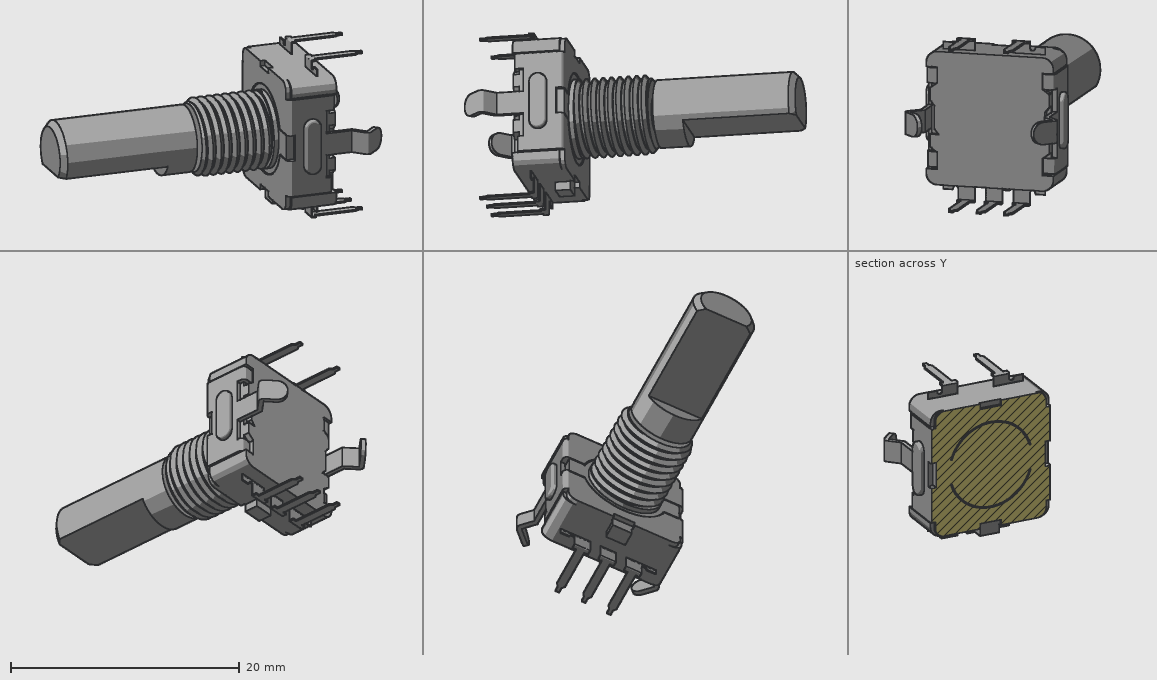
import cadquery as cq
import math


OVERLAP = 0.1

BODY_HALF_X = 5.81
BODY_HALF_Z = 5.97
BODY_DEPTH = 4.62
BODY_CORNER = 1.0
SHEET = 0.43
FACE_HALF_X = 5.45
FACE_CORNER = 0.87
SIDE_RECESS_HALF_Z = 4.58
DENT_FRONT = 4.08
DENT_FLOOR_X = 4.8
MIDDLE_DENT_UPPER_X = 5.05
MIDDLE_DENT_LOWER_X = 4.65
UPPER_PAD = (1.58, 2.7)
LOWER_PAD = (-2.6, -1.47)
DENT_SLOPE = 0.48

WALL_HALF_Z = 4.47
WALL_OUTER_X = FACE_HALF_X + SHEET
WALL_END = 3.65
LUG_INNER_Z = 3.1
UPPER_LUG_END = 4.48
LOWER_LUG_END = 4.22

DISC_RADIUS = 4.0
DISC_GAP = 0.07
ARM_HALF_Z = 1.17
ARM_END = 0.73
ARM_HALF_X = 5.37
ARM_GAP_END = 1.0
FACE_RECESS = 0.07
NOTCH_HALF_X = 1.02
NOTCH_DEPTH = 0.5
KEY_HALF_X = 0.94
KEY_BACK = 1.76
KEY_BOTTOM = -6.73

OVAL_CENTER_Y = 2.3
OVAL_RADIUS = 0.77
OVAL_LENGTH = 5.04
OVAL_HEIGHT = 0.46
OVAL_FILLET = 0.22

CLIP_HALF_Z = 1.0
CLIP_ELBOW_Y = 7.21
CLIP_TIP_Y = 9.0
CLIP_HALF_SPAN = 6.92
CLIP_TIP_ROUND = 0.98 * CLIP_HALF_Z

LEG_FRONT = 3.17
LEG_SHEET = 0.1
PIN_SHEET = 0.15
PIN_BEND_RADIUS = 0.14
PIN_SPACING = 2.52
PIN_FOOT_WIDTH = 1.53
PIN_FOOT_END = 3.66
PIN_WIDTH = 0.8
PIN_TIP_WIDTH = 0.38
PIN_TAPER_START = 7.44
PIN_TAPER_END = 7.7
PIN_END = 8.18
CENTER_PIN_SHIFT = -0.1
UPPER_LEFT_PIN_Z = 7.1
UPPER_RIGHT_PIN_Z = 7.03
LOWER_PIN_Z = 7.6
LEG_OUTER_X = 4.67
LEG_SHOULDER_X = 3.82
LEG_NOTCH_RADIUS = 0.23
LEG_SHOULDER_Z = 6.6
LEG_NOTCH_Z = 6.25

THREAD_RADIUS = 3.5
THREAD_CORE_RADIUS = 3.08
THREAD_PITCH = 0.75
COLLAR_LENGTH = 0.37
BUSHING_LENGTH = 6.94
BUSHING_CHAMFER = 0.46
LAST_CREST_Y = -0.06
THREAD_TURNS = 10
RIDGE_ROOT_DEPTH = 0.03
RIDGE_BASE = 0.98 * THREAD_PITCH

NECK_RADIUS = 1.53
SHAFT_RADIUS = 3.0
SHAFT_START = 7.36
SHAFT_END = 20.01
SHAFT_CHAMFER = 0.52
FLAT_START = 9.97
FLAT_Z = -1.5


def block(x0, x1, y0, y1, z0, z1):
    """Axis-aligned box given by its limits."""
    return cq.Workplane("XY").box(x1 - x0, y1 - y0, z1 - z0, centered=False).translate((x0, y0, z0))


def rod(radius, y0, y1):
    """Cylinder on the shaft axis."""
    return cq.Workplane("XZ", origin=(0, y1, 0)).circle(radius).extrude(y1 - y0)


def both_sides(shape):
    """The shape together with its mirror image across the YZ plane."""
    return shape.union(shape.mirror("YZ"))


def side_wall():
    """Cover wall on the -X side, bent over from the front face, with rear lugs and raised oval."""
    inner = -FACE_HALF_X
    outer = -WALL_OUTER_X
    wall = block(outer, inner + OVERLAP, 0, WALL_END, -WALL_HALF_Z, WALL_HALF_Z)
    wall = wall.edges("|Z and <X and <Y").fillet(SHEET)
    for end, z0, z1 in (
        (UPPER_LUG_END, LUG_INNER_Z, WALL_HALF_Z),
        (LOWER_LUG_END, -WALL_HALF_Z, -LUG_INNER_Z),
    ):
        bent_lug = block(outer, -DENT_FLOOR_X + OVERLAP, WALL_END - OVERLAP, end, z0, z1)
        wall = wall.union(bent_lug.edges("|Z and <X and >Y").fillet(SHEET))
    oval = (
        cq.Workplane("YZ", origin=(outer - OVAL_HEIGHT, OVAL_CENTER_Y, 0))
        .slot2D(OVAL_LENGTH, 2 * OVAL_RADIUS, 90)
        .extrude(OVAL_HEIGHT + OVERLAP)
        .faces("<X")
        .edges()
        .fillet(OVAL_FILLET)
    )
    return wall.union(oval)


def rear_dents():
    """Three sloped dents in the rear edge of the body side at -X, with two flat pads between them."""
    side = -FACE_HALF_X
    floor = -DENT_FLOOR_X
    upper = [
        (side, SIDE_RECESS_HALF_Z),
        (floor, SIDE_RECESS_HALF_Z),
        (floor, UPPER_PAD[1] + DENT_SLOPE),
        (side, UPPER_PAD[1]),
    ]
    middle = [
        (side, UPPER_PAD[0]),
        (-MIDDLE_DENT_UPPER_X, UPPER_PAD[0] - DENT_SLOPE),
        (-MIDDLE_DENT_UPPER_X, LOWER_PAD[1] + DENT_SLOPE),
        (-MIDDLE_DENT_LOWER_X, LOWER_PAD[1]),
        (side, LOWER_PAD[1]),
    ]
    lower = [
        (side, LOWER_PAD[0]),
        (floor, LOWER_PAD[0] - DENT_SLOPE),
        (floor, -SIDE_RECESS_HALF_Z),
        (side, -SIDE_RECESS_HALF_Z),
    ]
    dents = cq.Workplane("XZ", origin=(0, BODY_DEPTH, 0))
    for outline in (upper, middle, lower):
        dents = dents.polyline(outline).close()
    return dents.extrude(BODY_DEPTH - DENT_FRONT)


def face_recess():
    """Shallow recess in the front face that shows a disc with two arms, and the gap around the disc."""
    hole_radius = DISC_RADIUS + DISC_GAP
    arms = block(-FACE_HALF_X, FACE_HALF_X, 0, FACE_RECESS, -ARM_HALF_Z, ARM_HALF_Z)
    gap = rod(hole_radius, 0, SHEET).cut(rod(DISC_RADIUS, 0, SHEET))
    gap = gap.cut(block(-hole_radius, hole_radius, 0, SHEET, -ARM_HALF_Z, ARM_HALF_Z))
    return arms.union(rod(hole_radius, 0, FACE_RECESS)).union(gap)


def arm_slot():
    """Opening in the bend of the -X wall at the end of an arm, with the gap between arm and wall."""
    opening = block(-WALL_OUTER_X, -ARM_HALF_X, 0, ARM_END, -ARM_HALF_Z, ARM_HALF_Z)
    return opening.union(block(-FACE_HALF_X, -ARM_HALF_X, 0, ARM_GAP_END, -ARM_HALF_Z, ARM_HALF_Z))


def housing():
    """Moulded body, front face plate, side walls and the recesses of the front face."""
    body = block(-BODY_HALF_X, BODY_HALF_X, SHEET, BODY_DEPTH, -BODY_HALF_Z, BODY_HALF_Z)
    body = body.edges("|Y").fillet(BODY_CORNER)
    recess = block(
        -BODY_HALF_X, -FACE_HALF_X, 0, BODY_DEPTH, -SIDE_RECESS_HALF_Z, SIDE_RECESS_HALF_Z
    )
    body = body.cut(both_sides(recess)).cut(both_sides(rear_dents()))
    face = block(-FACE_HALF_X, FACE_HALF_X, 0, SHEET + OVERLAP, -BODY_HALF_Z, BODY_HALF_Z)
    body = body.union(face.edges("|Y").fillet(FACE_CORNER))
    body = body.union(both_sides(side_wall()))
    body = body.cut(face_recess()).cut(both_sides(arm_slot()))

    notch = block(
        -NOTCH_HALF_X, NOTCH_HALF_X, 0, SHEET, BODY_HALF_Z - NOTCH_DEPTH, BODY_HALF_Z
    )
    body = body.cut(notch).cut(notch.mirror("XY"))
    key = block(-KEY_HALF_X, KEY_HALF_X, SHEET, KEY_BACK, KEY_BOTTOM, OVERLAP - BODY_HALF_Z)
    return body.union(key)


def clip():
    """Snap-in clip on the -X side: straight out of the wall, then bent out and back in."""
    outer = -WALL_OUTER_X
    elbow_x = -CLIP_HALF_SPAN - SHEET * (math.sqrt(2) - 1)
    bend_y = CLIP_ELBOW_Y - (outer - elbow_x)
    inner_bend_y = bend_y + SHEET * math.tan(math.pi / 8)
    tip_x = elbow_x + CLIP_TIP_Y - CLIP_ELBOW_Y
    tip_step = SHEET / math.sqrt(2)
    outline = [
        (outer, WALL_END - OVERLAP),
        (outer, bend_y),
        (elbow_x, CLIP_ELBOW_Y),
        (tip_x, CLIP_TIP_Y),
        (tip_x + tip_step, CLIP_TIP_Y - tip_step),
        (elbow_x + SHEET * math.sqrt(2), CLIP_ELBOW_Y),
        (-FACE_HALF_X, inner_bend_y),
        (-FACE_HALF_X, WALL_END - OVERLAP),
    ]
    strip = cq.Workplane("XY", origin=(0, 0, -CLIP_HALF_Z)).polyline(outline).close()
    strip = strip.extrude(2 * CLIP_HALF_Z)
    strip = strip.edges("|Z and <X").fillet(SHEET)
    return strip.faces(">Y").edges("not |Z").fillet(CLIP_TIP_ROUND)


def pin(center_x, outer_z, shift):
    """Flat terminal pin in a horizontal plane; outer_z is its face away from the shaft axis."""
    half_foot = PIN_FOOT_WIDTH / 2
    half_width = PIN_WIDTH / 2
    half_tip = PIN_TIP_WIDTH / 2
    right_side = [
        (half_foot, LEG_FRONT),
        (half_foot, PIN_FOOT_END),
        (half_width, PIN_FOOT_END),
        (half_width, PIN_TAPER_START + shift),
        (half_tip, PIN_TAPER_END + shift),
        (half_tip, PIN_END + shift),
    ]
    left_side = [(-x, y) for x, y in reversed(right_side)]
    bottom = outer_z - PIN_SHEET if outer_z > 0 else outer_z
    bend_edge = ">Z" if outer_z > 0 else "<Z"
    return (
        cq.Workplane("XY", origin=(center_x, 0, bottom))
        .polyline(right_side + left_side)
        .close()
        .extrude(PIN_SHEET)
        .faces("<Y")
        .edges(bend_edge)
        .fillet(PIN_BEND_RADIUS)
    )


def corner_terminal(side, up, height):
    """Terminal in one corner: upright leg with a shoulder, and the pin bent backwards from it."""
    pin_inner_x = PIN_SPACING - PIN_FOOT_WIDTH / 2
    pin_outer_x = PIN_SPACING + PIN_FOOT_WIDTH / 2
    notch_center_z = LEG_NOTCH_Z + LEG_NOTCH_RADIUS
    leg_end_z = height - PIN_SHEET
    leg = (
        cq.Workplane("XZ", origin=(0, LEG_FRONT + LEG_SHEET, 0))
        .moveTo(pin_inner_x, BODY_HALF_Z - OVERLAP)
        .lineTo(pin_inner_x, leg_end_z)
        .lineTo(pin_outer_x, leg_end_z)
        .lineTo(pin_outer_x, notch_center_z)
        .threePointArc(
            (pin_outer_x + LEG_NOTCH_RADIUS, LEG_NOTCH_Z),
            (pin_outer_x + 2 * LEG_NOTCH_RADIUS, notch_center_z),
        )
        .lineTo(LEG_SHOULDER_X, LEG_SHOULDER_Z)
        .lineTo(LEG_OUTER_X, LEG_SHOULDER_Z)
        .lineTo(LEG_OUTER_X, BODY_HALF_Z - OVERLAP)
        .close()
        .extrude(LEG_SHEET)
    )
    if side < 0:
        leg = leg.mirror("YZ")
    if up < 0:
        leg = leg.mirror("XY")
    return leg.union(pin(side * PIN_SPACING, up * height, 0))


def center_terminal():
    """Middle terminal below the housing."""
    half = PIN_FOOT_WIDTH / 2
    leg_end_z = PIN_SHEET - LOWER_PIN_Z
    leg = block(-half, half, LEG_FRONT, LEG_FRONT + LEG_SHEET, leg_end_z, OVERLAP - BODY_HALF_Z)
    return leg.union(pin(0, -LOWER_PIN_Z, CENTER_PIN_SHIFT))


def bushing():
    """Collar and threaded bushing with a chamfered front end."""
    core = rod(THREAD_CORE_RADIUS, -BUSHING_LENGTH, SHEET)
    collar = rod(THREAD_RADIUS, -COLLAR_LENGTH, SHEET)
    helix = cq.Wire.makeHelix(THREAD_PITCH, THREAD_TURNS * THREAD_PITCH, THREAD_CORE_RADIUS)
    root_radius = THREAD_CORE_RADIUS - RIDGE_ROOT_DEPTH
    half_base = RIDGE_BASE / 2
    ridge = (
        cq.Workplane("XZ")
        .polyline([(root_radius, -half_base), (THREAD_RADIUS, 0), (root_radius, half_base)])
        .close()
        .sweep(cq.Workplane(helix), isFrenet=True)
        .rotate((0, 0, 0), (1, 0, 0), -90)
        .translate((0, LAST_CREST_Y - THREAD_TURNS * THREAD_PITCH, 0))
    )
    envelope = rod(THREAD_RADIUS + OVERLAP, -BUSHING_LENGTH, SHEET)
    envelope = envelope.faces("<Y").chamfer(BUSHING_CHAMFER + OVERLAP)
    return core.union(ridge).intersect(envelope).union(collar)


def shaft():
    """Shaft with a narrow neck, a chamfered end and a flat on its lower side."""
    body = rod(SHAFT_RADIUS, -SHAFT_END, -SHAFT_START).faces("<Y").chamfer(SHAFT_CHAMFER)
    flat = block(-SHAFT_RADIUS, SHAFT_RADIUS, -SHAFT_END, -FLAT_START, -SHAFT_RADIUS, FLAT_Z)
    neck = rod(NECK_RADIUS, -SHAFT_START - OVERLAP, OVERLAP - BUSHING_LENGTH)
    return body.cut(flat).union(neck)


result = housing()
result = result.union(both_sides(clip()))
for side, up, height in (
    (-1, 1, UPPER_LEFT_PIN_Z),
    (1, 1, UPPER_RIGHT_PIN_Z),
    (-1, -1, LOWER_PIN_Z),
    (1, -1, LOWER_PIN_Z),
):
    result = result.union(corner_terminal(side, up, height))
result = result.union(center_terminal()).union(bushing()).union(shaft())